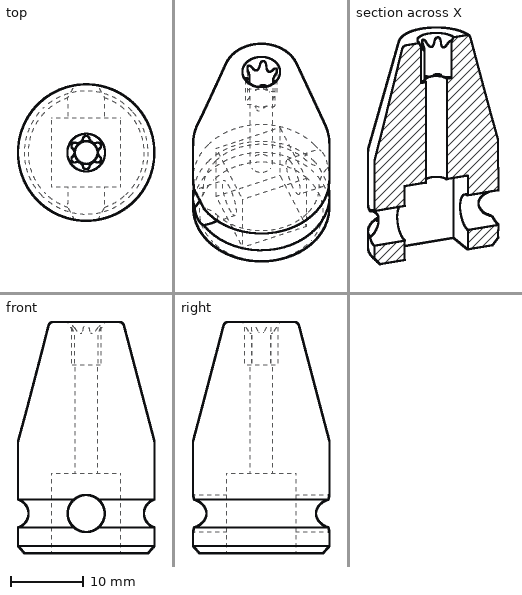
import cadquery as cq
import math

LENGTH = 32.0
BODY_RADIUS = 9.45
CONE_BASE_Z = 15.5
NOSE_RADIUS = 5.1
NOSE_FILLET = 0.7
BASE_CHAMFER_HEIGHT = 1.0
BASE_CHAMFER_WIDTH = 0.9

GROOVE_Z = 5.5
GROOVE_RADIUS = 2.0
GROOVE_CENTRE_RADIUS = 10.0
PIN_HOLE_RADIUS = 2.55

DRIVE_SIZE = 9.55
DRIVE_DEPTH = 11.0

LOBE_COUNT = 6
LOBE_TIP_DISTANCE = 2.3
LOBE_ROUND_RADIUS = 0.45
VALLEY_DISTANCE = 1.63
SOCKET_DEPTH = 6.0
LEAD_IN_RADIUS = 2.61
LEAD_IN_ANGLE = 31.0
BORE_RADIUS = 1.56


def make_body():
    """Cylinder with a chamfered base and a tapered, rounded nose."""
    profile = (
        cq.Workplane("XZ")
        .lineTo(BODY_RADIUS - BASE_CHAMFER_WIDTH, 0)
        .lineTo(BODY_RADIUS, BASE_CHAMFER_HEIGHT)
        .lineTo(BODY_RADIUS, CONE_BASE_Z)
        .lineTo(NOSE_RADIUS, LENGTH)
        .lineTo(0, LENGTH)
        .close()
    )
    body = profile.revolve(360, (0, 0, 0), (0, 1, 0))
    return body.faces(">Z").edges().fillet(NOSE_FILLET)


def make_groove():
    """Ring of circular section that cuts the groove round the body."""
    section = cq.Workplane("XZ").center(GROOVE_CENTRE_RADIUS, GROOVE_Z).circle(GROOVE_RADIUS)
    return section.revolve(360, (-GROOVE_CENTRE_RADIUS, 0, 0), (-GROOVE_CENTRE_RADIUS, 1, 0))


def make_pin_hole():
    """Hole along Y through the whole body at groove height."""
    return cq.Workplane("XZ").center(0, GROOVE_Z).circle(PIN_HOLE_RADIUS).extrude(BODY_RADIUS, both=True)


def make_drive():
    """Square drive recess, open at the base."""
    return cq.Workplane("XY").rect(DRIVE_SIZE, DRIVE_SIZE).extrude(DRIVE_DEPTH)


def polar(radius, angle):
    """Point at a radius and an angle in radians."""
    return (radius * math.cos(angle), radius * math.sin(angle))


def valley_round_radius():
    """Radius of the arc between two lobes, tangent to the lobe rounds on both sides."""
    lobe_centre = LOBE_TIP_DISTANCE - LOBE_ROUND_RADIUS
    half_step = math.pi / LOBE_COUNT
    along = lobe_centre * math.cos(half_step) - VALLEY_DISTANCE
    across = lobe_centre * math.sin(half_step)
    return (along**2 + across**2 - LOBE_ROUND_RADIUS**2) / (2 * (along + LOBE_ROUND_RADIUS))


def make_socket():
    """Six-lobe prism with lobe tips on the Y axis, open at the nose."""
    half_step = math.pi / LOBE_COUNT
    lobe_centre = LOBE_TIP_DISTANCE - LOBE_ROUND_RADIUS
    valley_round = valley_round_radius()
    valley_centre = VALLEY_DISTANCE + valley_round

    valley_x, valley_y = polar(valley_centre, half_step)
    share = LOBE_ROUND_RADIUS / (LOBE_ROUND_RADIUS + valley_round)
    tangent_x = lobe_centre + share * (valley_x - lobe_centre)
    tangent_y = share * valley_y
    tangent_distance = math.hypot(tangent_x, tangent_y)
    tangent_angle = math.atan2(tangent_y, tangent_x)

    first_lobe = math.pi / 2
    outline = cq.Workplane("XY").workplane(offset=LENGTH - SOCKET_DEPTH)
    outline = outline.moveTo(*polar(tangent_distance, first_lobe - tangent_angle))
    for index in range(LOBE_COUNT):
        lobe = first_lobe + 2 * half_step * index
        next_lobe = lobe + 2 * half_step
        outline = outline.threePointArc(
            polar(LOBE_TIP_DISTANCE, lobe),
            polar(tangent_distance, lobe + tangent_angle),
        )
        outline = outline.threePointArc(
            polar(VALLEY_DISTANCE, lobe + half_step),
            polar(tangent_distance, next_lobe - tangent_angle),
        )
    return outline.close().extrude(SOCKET_DEPTH)


def make_lead_in():
    """Conical mouth of the six-lobe socket, ending at the bore radius."""
    depth = (LEAD_IN_RADIUS - BORE_RADIUS) / math.tan(math.radians(LEAD_IN_ANGLE))
    profile = (
        cq.Workplane("XZ")
        .moveTo(0, LENGTH)
        .lineTo(LEAD_IN_RADIUS, LENGTH)
        .lineTo(BORE_RADIUS, LENGTH - depth)
        .lineTo(0, LENGTH - depth)
        .close()
    )
    return profile.revolve(360, (0, 0, 0), (0, 1, 0))


def make_bore():
    """Round bore that joins the socket to the drive recess."""
    return cq.Workplane("XY").circle(BORE_RADIUS).extrude(LENGTH)


result = (
    make_body()
    .cut(make_groove())
    .cut(make_pin_hole())
    .cut(make_drive())
    .cut(make_bore())
    .cut(make_socket())
    .cut(make_lead_in())
)